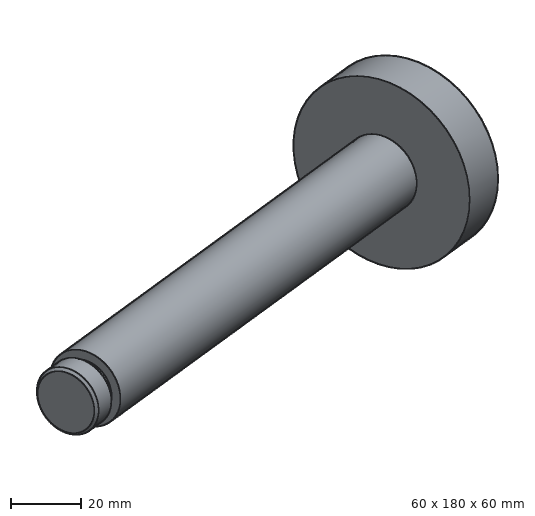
import cadquery as cq

total_length = 180.0
flange_diameter = 60.0
flange_thickness = 15.0
tube_diameter = 24.0

spigot_length = 10.0
spigot_diameter = 21.0
spigot_chamfer = 0.9
neck_length = 2.5
neck_diameter = 18.0

free_end = -total_length / 2
neck_start = free_end + spigot_length - neck_length
tube_start = free_end + spigot_length
flange_start = total_length / 2 - flange_thickness


def cylinder_along_y(diameter, start, length):
    """Solid cylinder on the Y axis, growing toward +Y from start."""
    plane = cq.Plane(origin=(0, start, 0), xDir=(1, 0, 0), normal=(0, 1, 0))
    return cq.Workplane(plane).circle(diameter / 2).extrude(length)


flange = cylinder_along_y(flange_diameter, flange_start, flange_thickness)
tube = cylinder_along_y(tube_diameter, tube_start, flange_start - tube_start)
neck = cylinder_along_y(neck_diameter, neck_start, neck_length)
spigot = cylinder_along_y(spigot_diameter, free_end, spigot_length - neck_length)
spigot = spigot.faces("<Y").chamfer(spigot_chamfer)

result = flange.union(tube).union(neck).union(spigot)